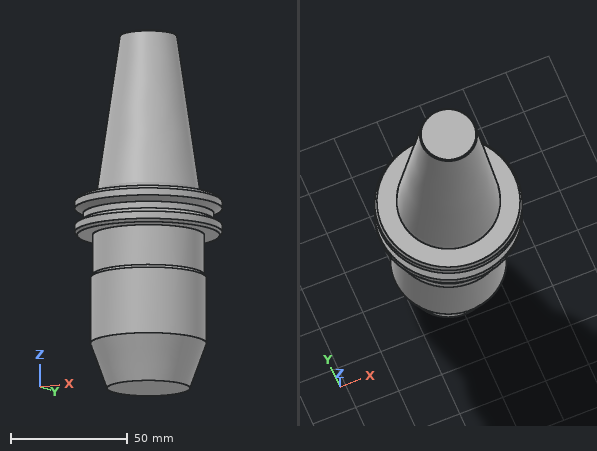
import cadquery as cq
import math


gauge_radius = 44.45 / 2
taper_length = 68.4
taper_slope = 7 / 24 / 2
taper_tip_chamfer = 0.5

flange_radius = 63.5 / 2
flange_top_z = -3.2
flange_bottom_z = -19.1
flange_chamfer_radial = 1.0
flange_chamfer_height = 1.3
groove_center_z = -11.1
groove_floor_radius = 56.25 / 2
groove_mouth_width = 7.1
groove_wall_angle = 30

neck_radius = 48 / 2
body_radius = 50 / 2
body_shoulder_z = -36.5
body_shoulder_height = 1.3
nose_length = 19.5
nose_angle = 20
overall_length = 154.4

bottom_z = taper_length - overall_length


def taper_points():
    """Profile of the shank, from the tip down to the flange."""
    chamfer_z = taper_length - taper_tip_chamfer
    chamfer_radius = gauge_radius - chamfer_z * taper_slope
    return [
        (0, taper_length),
        (chamfer_radius - taper_tip_chamfer, taper_length),
        (chamfer_radius, chamfer_z),
        (gauge_radius, 0),
        (gauge_radius, flange_top_z),
    ]


def flange_points():
    """Profile of the chamfered flange and the V-groove around its rim."""
    rim_radius = flange_radius - flange_chamfer_radial
    wall_drop = (flange_radius - groove_floor_radius) * math.tan(math.radians(groove_wall_angle))
    half_mouth = groove_mouth_width / 2
    half_floor = half_mouth - wall_drop
    return [
        (rim_radius, flange_top_z),
        (flange_radius, flange_top_z - flange_chamfer_height),
        (flange_radius, groove_center_z + half_mouth),
        (groove_floor_radius, groove_center_z + half_floor),
        (groove_floor_radius, groove_center_z - half_floor),
        (flange_radius, groove_center_z - half_mouth),
        (flange_radius, flange_bottom_z + flange_chamfer_height),
        (rim_radius, flange_bottom_z),
    ]


def body_points():
    """Profile of the neck, the chuck body and its conical nose."""
    nose_tip_radius = body_radius - nose_length * math.tan(math.radians(nose_angle))
    return [
        (neck_radius, flange_bottom_z),
        (neck_radius, body_shoulder_z),
        (body_radius, body_shoulder_z - body_shoulder_height),
        (body_radius, bottom_z + nose_length),
        (nose_tip_radius, bottom_z),
        (0, bottom_z),
    ]


profile = taper_points() + flange_points() + body_points()

result = cq.Workplane("XZ").polyline(profile).close().revolve(360, (0, 0, 0), (0, 1, 0))